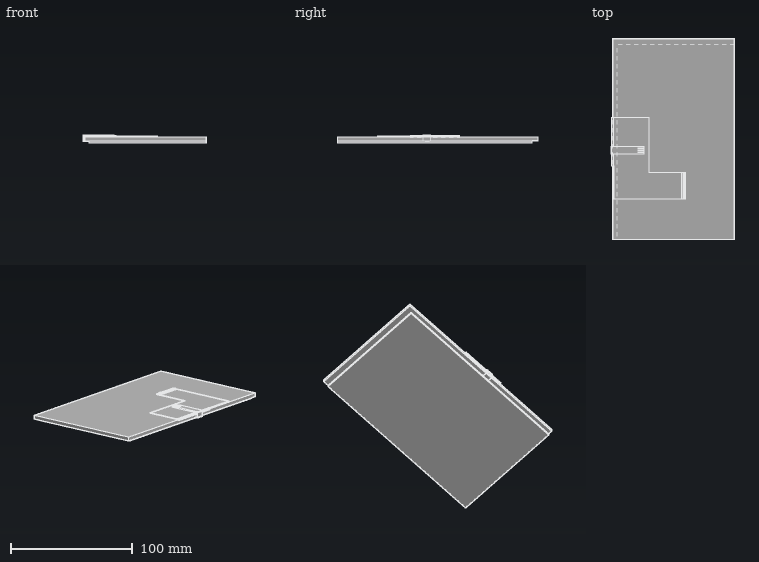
import cadquery as cq

plate_length = 165.0
plate_width = 100.0
backing_height = 2.0
plate_height = 3.3
backing_side_inset = 3.5
backing_end_inset = 5.0
plate_top = backing_height + plate_height

sheet_height = 0.5
sheet_top = plate_top + sheet_height
bead_radius = 0.9
bead_centre_z = 5.5
sheet_front = 33.2
sheet_step_y = 55.1
sheet_back = 100.3
sheet_left = 1.2
sheet_inner_x = 29.9
bead_front = 60.2

strip_width = 6.3
strip_y = 73.5
strip_wall = 0.5
strip_left = -1.2
strip_top = 6.8
strip_end = 25.9
strip_droop_start = 22.6
strip_droop = 0.7
strip_front = strip_y - strip_width / 2
strip_back = strip_y + strip_width / 2
finger_slot_width = 0.5
finger_slot_pitch = 1.6
finger_slot_start = 20.8
finger_slot_count = 3

connector_left = 56.5
connector_right = 60.0
bar_left = 57.1
bar_right = 58.0
lip_left = 58.7
lip_right = 59.2
bar_top = 6.1
nose_height = 0.5
contact_width = 0.56
contact_pitch = 1.12
contact_y = 50.3
contact_count = 3


def box(x_range, y_range, z_range):
    """Box between the given limits on each axis."""
    size = [high - low for low, high in (x_range, y_range, z_range)]
    corner = (x_range[0], y_range[0], z_range[0])
    return cq.Workplane("XY").box(*size, centered=False).translate(corner)


def along_y(front, back):
    """XZ workplane at the front limit and the signed distance that extrudes to the back limit."""
    return cq.Workplane("XZ", origin=(0, front, 0)), front - back


def row_of_boxes(x_range, z_range, middle_y, pitch, width, count):
    """Equal narrow boxes that run along X, spaced along Y about the middle."""
    row = cq.Workplane("XY")
    for index in range(count):
        box_y = middle_y + (index - (count - 1) / 2) * pitch
        row = row.add(box(x_range, (box_y - width / 2, box_y + width / 2), z_range))
    return row.combine()


def make_backing():
    return box((backing_side_inset, plate_width), (0, plate_length - backing_end_inset), (0, backing_height))


def make_plate():
    return box((0, plate_width), (0, plate_length), (backing_height, plate_top))


def make_bead(front, back):
    """Round bead along the plate's -X edge, cut away where the plate is."""
    plane, depth = along_y(front, back)
    bead = plane.center(0, bead_centre_z).circle(bead_radius).extrude(depth)
    return bead.cut(box((0, plate_width), (0, plate_length), (0, plate_top)))


def make_sheet():
    """L-shaped sheet whose bead is interrupted where the strip crosses it."""
    height_range = (plate_top, sheet_top)
    long_arm = box((sheet_left, connector_left), (sheet_front, sheet_step_y), height_range)
    short_arm = box((sheet_left, sheet_inner_x), (sheet_front, sheet_back), height_range)
    root = box((0, sheet_inner_x), (bead_front, sheet_back), height_range)
    sheet = long_arm.union(short_arm).union(root)
    for front, back in ((bead_front, strip_front), (strip_back, sheet_back)):
        sheet = sheet.union(make_bead(front, back))
    return sheet


def make_strip():
    """C-shaped strip with a drooping, slotted end."""
    inner_x = strip_left + strip_wall
    droop_middle = (strip_droop_start + strip_end) / 2
    plane, depth = along_y(strip_front, strip_back)
    strip = (
        plane.moveTo(strip_left, strip_top)
        .lineTo(strip_droop_start, strip_top)
        .threePointArc((droop_middle, strip_top - strip_droop / 4), (strip_end, strip_top - strip_droop))
        .lineTo(strip_end, sheet_top)
        .lineTo(inner_x, sheet_top)
        .lineTo(inner_x, backing_height)
        .lineTo(backing_side_inset, backing_height)
        .lineTo(backing_side_inset, backing_height - strip_wall)
        .lineTo(strip_left, backing_height - strip_wall)
        .close()
        .extrude(depth)
    )
    finger_slots = row_of_boxes(
        (finger_slot_start, strip_end),
        (sheet_top, strip_top),
        strip_y,
        finger_slot_pitch,
        finger_slot_width,
        finger_slot_count,
    )
    return strip.cut(finger_slots)


def make_connector():
    """Bar with a grooved top, a sloping nose and a group of raised contacts across it."""
    plane, depth = along_y(sheet_front, sheet_step_y)
    connector = (
        plane.moveTo(connector_left, plate_top)
        .lineTo(connector_left, sheet_top)
        .lineTo(bar_left, sheet_top)
        .lineTo(bar_left, bar_top)
        .lineTo(bar_right, bar_top)
        .lineTo(bar_right, sheet_top)
        .lineTo(lip_left, sheet_top)
        .lineTo(lip_left, bar_top)
        .lineTo(lip_right, bar_top)
        .lineTo(connector_right, plate_top + nose_height)
        .lineTo(connector_right, plate_top)
        .close()
        .extrude(depth)
    )
    contacts = row_of_boxes(
        (connector_left, connector_right),
        (plate_top, bar_top),
        contact_y,
        contact_pitch,
        contact_width,
        contact_count,
    )
    return connector.union(contacts)


backing = make_backing()
plate = make_plate()
sheet = make_sheet()
strip = make_strip()
connector = make_connector()

result = cq.Compound.makeCompound(
    [backing.val(), plate.val(), sheet.val(), strip.val(), connector.val()]
)